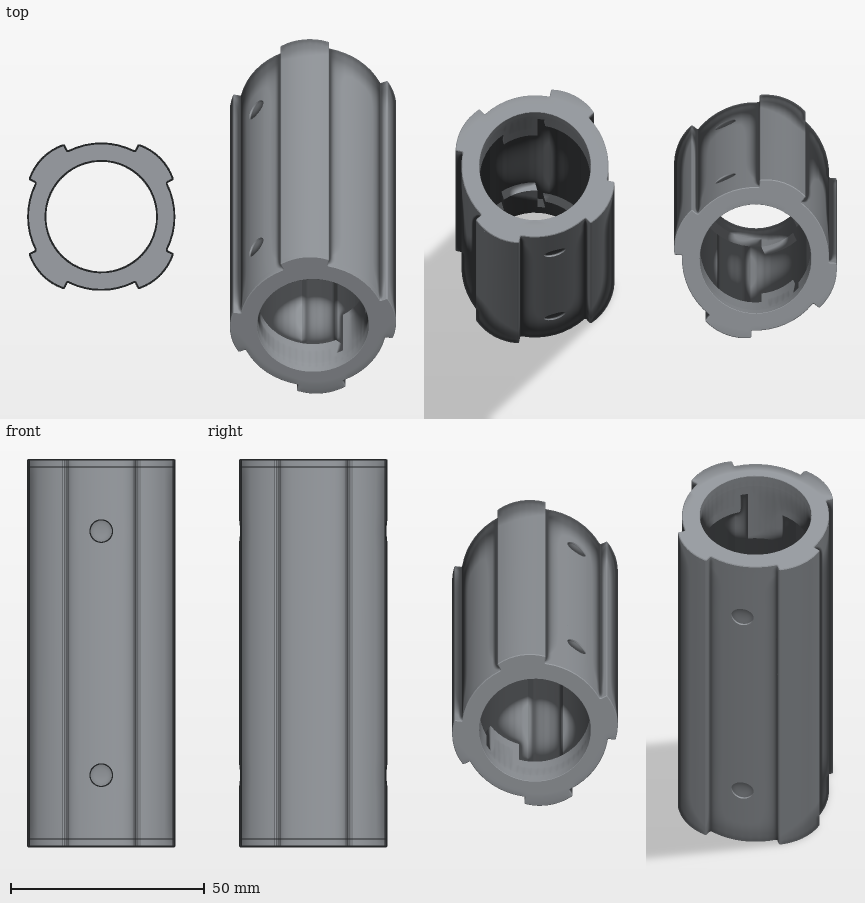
import cadquery as cq
import math

LENGTH = 100.0
BODY_RADIUS = 19.0
LOBE_RADIUS = 21.5
LOBE_HALF_ANGLE = 17.7
LOBE_CROWN_RADIUS = 14.0
LOBE_TIP_FILLET = 0.4
LOBE_ROOT_FILLET = 0.3
LOBE_DIRECTIONS = [45, 135, 225, 315]

SOCKET_RADIUS = 16.5
CHANNEL_RADIUS = 18.0
CHANNEL_MOUTH_HALF_WIDTH = 4.6
CHANNEL_FLOOR_HALF_WIDTH = 3.4
CHANNEL_OVERLAP = 1.5
CHANNEL_FILLET = 1.0

FLANGE_THICKNESS = 2.0
FLANGE_CHAMFER = 0.2
BORE_RADIUS = 14.3
MOUTH_RADIUS = 14.4
MOUTH_DEPTH = 3.5
RIM_CHAMFER = 0.1
SLEEVE_DEPTH = 12.4
TONGUE_DEPTH = 22.5
TONGUE_HALF_WIDTH = 4.5
SLIT_WIDTH = 1.9
SLIT_START = 6.3

STUD_DEPTH = 18.5
STUD_RADIUS = 2.9
STUD_TIP = 18.2
STUD_DISH_RADIUS = 14.5

HOUSING_LENGTH = LENGTH - 2 * FLANGE_THICKNESS
ACROSS = 2 * LOBE_RADIUS


def cylinder(radius, length):
    """Round cylinder about Z, standing on z = 0."""
    return cq.Workplane("XY").circle(radius).extrude(length)


def turned(shape, degrees):
    """The shape turned about Z."""
    return shape.rotate((0, 0, 0), (0, 0, 1), degrees)


def round_upright_edges(prism, nearest, farthest, fillet_radius):
    """Round the upright edges whose distance from the Z axis lies within the given range."""

    def in_range(edge):
        middle = edge.Center()
        return nearest < math.hypot(middle.x, middle.y) < farthest

    return prism.edges("|Z").filter(in_range).fillet(fillet_radius)


def lobe(length):
    """Wedge along +X with radial flanks and a crown rounder than the body."""
    crown_center = LOBE_RADIUS - LOBE_CROWN_RADIUS
    flank = math.radians(LOBE_HALF_ANGLE)
    tip_distance = crown_center * math.cos(flank) + math.sqrt(
        LOBE_CROWN_RADIUS**2 - (crown_center * math.sin(flank)) ** 2
    )
    tip_x = tip_distance * math.cos(flank)
    tip_y = tip_distance * math.sin(flank)
    wedge = (
        cq.Workplane("XY")
        .lineTo(tip_x, -tip_y)
        .threePointArc((LOBE_RADIUS, 0), (tip_x, tip_y))
        .close()
        .extrude(length)
    )
    return round_upright_edges(wedge, BODY_RADIUS, LOBE_RADIUS, LOBE_TIP_FILLET)


def lobed_prism(length):
    """Solid prism with the lobed outer outline, standing on z = 0."""
    prism = turned(cylinder(BODY_RADIUS, length), LOBE_DIRECTIONS[0])
    single_lobe = lobe(length)
    for direction in LOBE_DIRECTIONS:
        prism = prism.union(turned(single_lobe, direction))
    margin = LOBE_ROOT_FILLET / 2
    return round_upright_edges(
        prism, BODY_RADIUS - margin, BODY_RADIUS + margin, LOBE_ROOT_FILLET
    )


def lobe_channel():
    """Lengthwise channel along +X, narrowing outward from the bore of the housing."""
    mouth_x = math.sqrt(SOCKET_RADIUS**2 - CHANNEL_MOUTH_HALF_WIDTH**2)
    floor_x = math.sqrt(CHANNEL_RADIUS**2 - CHANNEL_FLOOR_HALF_WIDTH**2)
    inner_x = mouth_x - CHANNEL_OVERLAP
    channel = (
        cq.Workplane("XY")
        .moveTo(inner_x, -CHANNEL_MOUTH_HALF_WIDTH)
        .lineTo(mouth_x, -CHANNEL_MOUTH_HALF_WIDTH)
        .lineTo(floor_x, -CHANNEL_FLOOR_HALF_WIDTH)
        .threePointArc((CHANNEL_RADIUS, 0), (floor_x, CHANNEL_FLOOR_HALF_WIDTH))
        .lineTo(mouth_x, CHANNEL_MOUTH_HALF_WIDTH)
        .lineTo(inner_x, CHANNEL_MOUTH_HALF_WIDTH)
        .close()
        .extrude(HOUSING_LENGTH)
    )
    halfway = (SOCKET_RADIUS + CHANNEL_RADIUS) / 2
    return round_upright_edges(channel, halfway, LOBE_RADIUS, CHANNEL_FILLET)


def cross_rod(radius, height):
    """Round rod along Y through the whole width of the part."""
    return cq.Workplane("XZ").center(0, height).circle(radius).extrude(ACROSS / 2, both=True)


def make_housing():
    """Lobed tube between the flanges, with channels and stud holes."""
    body = lobed_prism(HOUSING_LENGTH).cut(cylinder(SOCKET_RADIUS, HOUSING_LENGTH))
    channel = lobe_channel()
    for direction in LOBE_DIRECTIONS:
        body = body.cut(turned(channel, direction))
    body = body.translate((0, 0, FLANGE_THICKNESS))
    for height in (STUD_DEPTH, LENGTH - STUD_DEPTH):
        body = body.cut(cross_rod(STUD_RADIUS, height))
    return body


def tongues():
    """Two opposite strips of the sleeve that reach deeper than the rest."""
    strip = cq.Workplane("XY").rect(2 * TONGUE_HALF_WIDTH, ACROSS).extrude(TONGUE_DEPTH)
    return cylinder(SOCKET_RADIUS, TONGUE_DEPTH).intersect(strip)


def slits():
    """Cut along the +X side of both tongues, open at the end of the sleeve."""
    slit_x = TONGUE_HALF_WIDTH + SLIT_WIDTH / 2
    return (
        cq.Workplane("XY", origin=(slit_x, 0, SLIT_START))
        .rect(SLIT_WIDTH, ACROSS)
        .extrude(SLEEVE_DEPTH - SLIT_START)
    )


def studs():
    """Both studs as one rod across the bore, with its ends hollowed by arcs about X."""
    rod = cross_rod(STUD_RADIUS, STUD_DEPTH)
    for side in (-1, 1):
        dish = (
            cq.Workplane("YZ")
            .center(side * (STUD_TIP + STUD_DISH_RADIUS), STUD_DEPTH)
            .circle(STUD_DISH_RADIUS)
            .extrude(2 * STUD_RADIUS, both=True)
        )
        rod = rod.cut(dish)
    return rod


def bore_mouth():
    """Tapered entry of the bore with a chamfered rim."""
    profile = [
        (0, 0),
        (MOUTH_RADIUS + RIM_CHAMFER, 0),
        (MOUTH_RADIUS, RIM_CHAMFER),
        (BORE_RADIUS, MOUTH_DEPTH),
        (0, MOUTH_DEPTH),
    ]
    return cq.Workplane("XZ").polyline(profile).close().revolve(360, (0, 0), (0, 1))


def make_cap():
    """Cap for the lower end, its flange standing on z = 0."""
    flange = lobed_prism(FLANGE_THICKNESS).faces("<Z").chamfer(FLANGE_CHAMFER)
    cap = flange.union(cylinder(SOCKET_RADIUS, SLEEVE_DEPTH))
    cap = cap.union(tongues())
    cap = cap.cut(slits())
    cap = cap.union(studs())
    cap = cap.cut(cylinder(BORE_RADIUS, TONGUE_DEPTH))
    return cap.cut(bore_mouth())


housing = make_housing()

caps = [make_cap(), make_cap().mirror("XY").translate((0, 0, LENGTH))]

result = cq.Compound.makeCompound([housing.val(), *[cap.val() for cap in caps]])